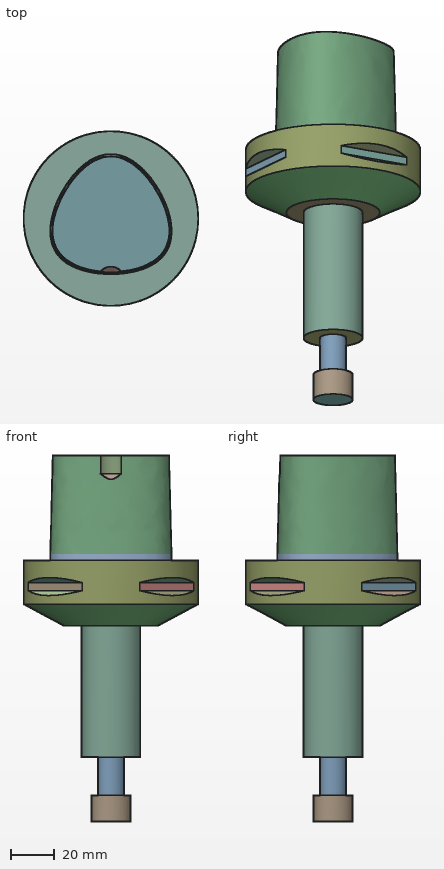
import cadquery as cq
import math


shank_height = 48.0
shank_base_height = 3.0
shank_mean_radius = 27.5
lobe_offset = 2.0
taper_per_side = 1 / 40
outline_samples = 72

key_radius = 6.0
key_axis_y = -28.0
key_depth = 8.3
key_cone_half_angle = 45.0

flange_diameter = 80.0
flange_height = 20.0
cone_height = 10.0
cone_end_diameter = 42.7

groove_count = 4
groove_first_angle = 45.0
groove_floor_distance = 36.0
groove_floor_width = 3.6
groove_wall_angle = 30.0
groove_z = -12.0
groove_cut_clearance = 1.0

arbor_diameter = 27.0
arbor_length = 60.0
neck_diameter = 12.0
neck_length = 17.5
stud_head_diameter = 18.0
stud_head_length = 12.0


def lobed_outline(z, mean_radius):
    """Closed hypotrochoid with lobes at 90, 210 and 330 degrees."""

    def point(t):
        angle = 2 * math.pi * t
        along_lobe = mean_radius * math.cos(angle) + lobe_offset * math.cos(2 * angle)
        across_lobe = mean_radius * math.sin(angle) - lobe_offset * math.sin(2 * angle)
        return (-across_lobe, along_lobe, 0)

    outline = cq.Workplane("XY").parametricCurve(point, N=outline_samples)
    return outline.val().moved(cq.Location(cq.Vector(0, 0, z)))


def make_shank():
    foot = cq.Solid.extrudeLinear(
        lobed_outline(0, shank_mean_radius), [], cq.Vector(0, 0, shank_base_height)
    )
    end_radius = shank_mean_radius - taper_per_side * (shank_height - shank_base_height)
    taper = cq.Solid.makeLoft(
        [
            lobed_outline(shank_base_height, shank_mean_radius),
            lobed_outline(shank_height, end_radius),
        ],
        True,
    )
    return cq.Workplane(foot).union(cq.Workplane(taper))


def make_keyway():
    """Volume of the keyway: a vertical cylinder with a conical tip."""
    tip_length = key_radius / math.tan(math.radians(key_cone_half_angle))
    return (
        cq.Workplane("XZ")
        .moveTo(0, shank_height)
        .lineTo(key_radius, shank_height)
        .lineTo(key_radius, shank_height - key_depth)
        .lineTo(0, shank_height - key_depth - tip_length)
        .close()
        .revolve(360, (0, 0, 0), (0, 1, 0))
        .translate((0, key_axis_y, 0))
    )


def make_turned_body():
    """Flange, cone, arbor, neck and stud head as one revolved profile."""
    flange_bottom = -flange_height
    cone_bottom = flange_bottom - cone_height
    arbor_bottom = cone_bottom - arbor_length
    neck_bottom = arbor_bottom - neck_length
    stud_bottom = neck_bottom - stud_head_length
    profile = [
        (0, 0),
        (flange_diameter / 2, 0),
        (flange_diameter / 2, flange_bottom),
        (cone_end_diameter / 2, cone_bottom),
        (arbor_diameter / 2, cone_bottom),
        (arbor_diameter / 2, arbor_bottom),
        (neck_diameter / 2, arbor_bottom),
        (neck_diameter / 2, neck_bottom),
        (stud_head_diameter / 2, neck_bottom),
        (stud_head_diameter / 2, stud_bottom),
        (0, stud_bottom),
    ]
    return cq.Workplane("XZ").polyline(profile).close().revolve(360, (0, 0, 0), (0, 1, 0))


def make_groove(angle):
    """Straight groove with a flat floor and flared walls, facing the given direction."""
    outer_distance = flange_diameter / 2 + groove_cut_clearance
    flare = (outer_distance - groove_floor_distance) * math.tan(math.radians(groove_wall_angle))
    floor_half = groove_floor_width / 2
    section = [
        (groove_floor_distance, groove_z - floor_half),
        (outer_distance, groove_z - floor_half - flare),
        (outer_distance, groove_z + floor_half + flare),
        (groove_floor_distance, groove_z + floor_half),
    ]
    groove = cq.Workplane("XZ").polyline(section).close().extrude(flange_diameter / 2, both=True)
    return groove.rotate((0, 0, 0), (0, 0, 1), angle)


result = make_turned_body().union(make_shank()).cut(make_keyway())
for index in range(groove_count):
    result = result.cut(make_groove(groove_first_angle + index * 360 / groove_count))